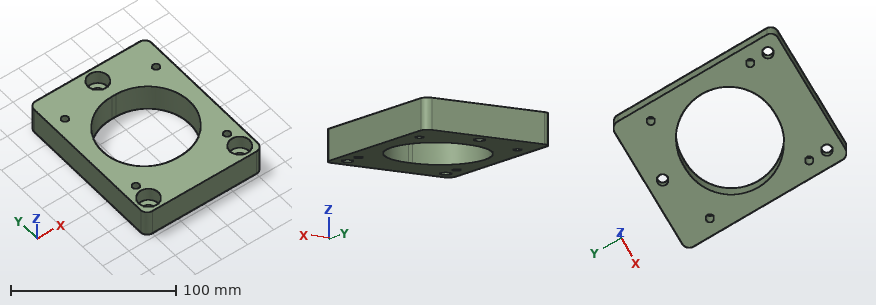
import cadquery as cq

width = 90.0
length = 115.0
thickness = 20.0
corner_radius = 5.0

opening_height = 64.0
opening_width = 67.0

small_hole_diameter = 5.0
small_hole_spacing = 70.0

mount_hole_diameter = 7.0
counterbore_diameter = 15.0
counterbore_depth = 10.0
mount_edge_distance = 10.0
mount_pair_spacing = 70.0

mount_y = length / 2 - mount_edge_distance
mount_points = [
    (0, mount_y),
    (-mount_pair_spacing / 2, -mount_y),
    (mount_pair_spacing / 2, -mount_y),
]


def make_plate():
    """Rounded rectangular plate resting on the XY plane."""
    plate = cq.Workplane("XY").box(width, length, thickness, centered=(True, True, False))
    return plate.edges("|Z").fillet(corner_radius)


def cut_opening(body):
    """Central obround opening through the full thickness."""
    return body.faces(">Z").workplane(origin=(0, 0, 0)).slot2D(opening_width, opening_height).cutThruAll()


def cut_small_holes(body):
    """Four plain through holes around the opening."""
    top = body.faces(">Z").workplane(origin=(0, 0, 0))
    return top.rarray(small_hole_spacing, small_hole_spacing, 2, 2).hole(small_hole_diameter)


def cut_mount_holes(body):
    """Three through holes counterbored from the top face."""
    top = body.faces(">Z").workplane(origin=(0, 0, 0)).pushPoints(mount_points)
    return top.cboreHole(mount_hole_diameter, counterbore_diameter, counterbore_depth)


plate = make_plate()
plate = cut_opening(plate)
plate = cut_small_holes(plate)
result = cut_mount_holes(plate)